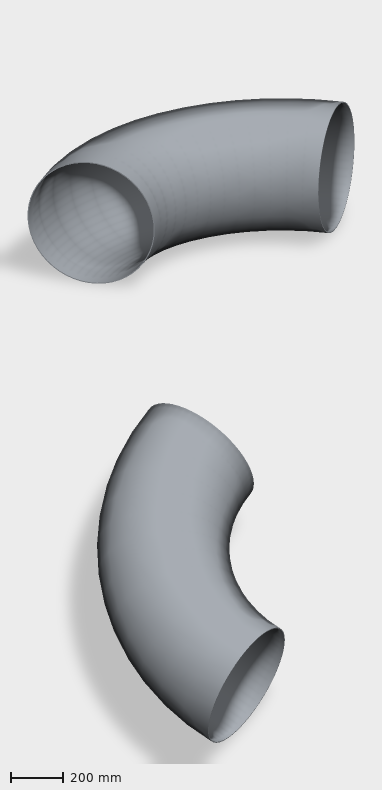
import cadquery as cq

pipe_diameter = 508.0
wall_thickness = 4.0
bend_radius = 1.5 * pipe_diameter
bend_angle = 90.0

outer_radius = pipe_diameter / 2
inner_radius = outer_radius - wall_thickness

pipe_section = (
    cq.Workplane("XZ")
    .center(-bend_radius, 0)
    .circle(outer_radius)
    .circle(inner_radius)
)

bend_axis_start = (bend_radius, 0)
bend_axis_end = (bend_radius, -1)
result = pipe_section.revolve(bend_angle, bend_axis_start, bend_axis_end)